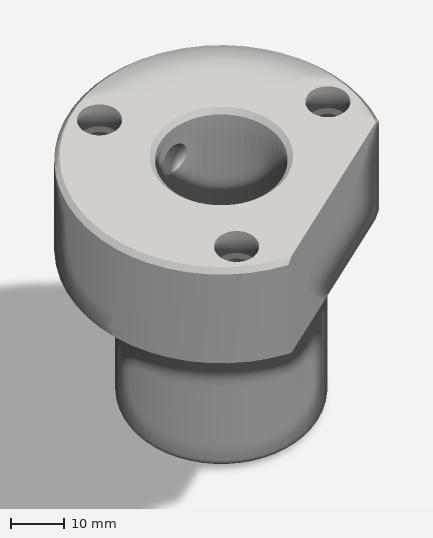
import cadquery as cq

total_height = 62.0
flange_diameter = 62.95
flange_height = 25.0
flange_chamfer = 1.0
flat_distance = 23.05

spigot_diameter = 40.0
spigot_end_radius = 2.0
relief_height = 1.45
relief_edge_chamfer = 0.55

bore_diameter = 25.0
bore_chamfer = 1.0

bolt_circle_radius = 25.0
bolt_hole_angles = (60, 180, 300)
bolt_hole_diameter = 5.5
counterbore_diameter = 8.5
counterbore_depth = 5.65

side_hole_diameter = 6.8
side_hole_angle = 160
side_hole_drop = 8.9

flange_bottom = total_height - flange_height
relief_bottom = flange_bottom - relief_height
relief_diameter = spigot_diameter - 2 * relief_edge_chamfer


def disc(diameter, bottom, height):
    """Cylinder on the Z axis."""
    return cq.Workplane("XY").workplane(offset=bottom).circle(diameter / 2).extrude(height)


def make_flange():
    """Chamfered disc with one flat on the +X side."""
    flange = disc(flange_diameter, flange_bottom, flange_height).edges().chamfer(flange_chamfer)
    keep = cq.Workplane("XY").box(
        flat_distance + flange_diameter / 2, flange_diameter, total_height, centered=(False, True, False)
    ).translate((-flange_diameter / 2, 0, 0))
    return flange.intersect(keep)


def make_spigot():
    """Round spigot with a rounded lower end and a relief groove at its root."""
    spigot = disc(spigot_diameter, 0, relief_bottom)
    spigot = spigot.faces("<Z").edges().fillet(spigot_end_radius)
    spigot = spigot.faces(">Z").edges().chamfer(relief_edge_chamfer)
    return spigot.union(disc(relief_diameter, relief_bottom, relief_height))


def cut_bore(body):
    """Through bore, chamfered at the top."""
    body = body.cut(disc(bore_diameter, 0, total_height))
    return body.faces(">Z").edges(cq.selectors.RadiusNthSelector(0)).chamfer(bore_chamfer)


def cut_bolt_holes(body):
    """Counterbored holes through the flange."""
    for angle in bolt_hole_angles:
        hole = disc(bolt_hole_diameter, flange_bottom, flange_height)
        counterbore = disc(counterbore_diameter, total_height - counterbore_depth, counterbore_depth)
        cutter = hole.union(counterbore).translate((bolt_circle_radius, 0, 0))
        body = body.cut(cutter.rotate((0, 0, 0), (0, 0, 1), angle))
    return body


def cut_side_hole(body):
    """Radial hole from the flange rim into the bore."""
    cutter = (
        cq.Workplane("YZ")
        .center(0, total_height - side_hole_drop)
        .circle(side_hole_diameter / 2)
        .extrude(flange_diameter / 2)
        .rotate((0, 0, 0), (0, 0, 1), side_hole_angle)
    )
    return body.cut(cutter)


result = make_flange().union(make_spigot())
result = cut_bore(result)
result = cut_bolt_holes(result)
result = cut_side_hole(result)